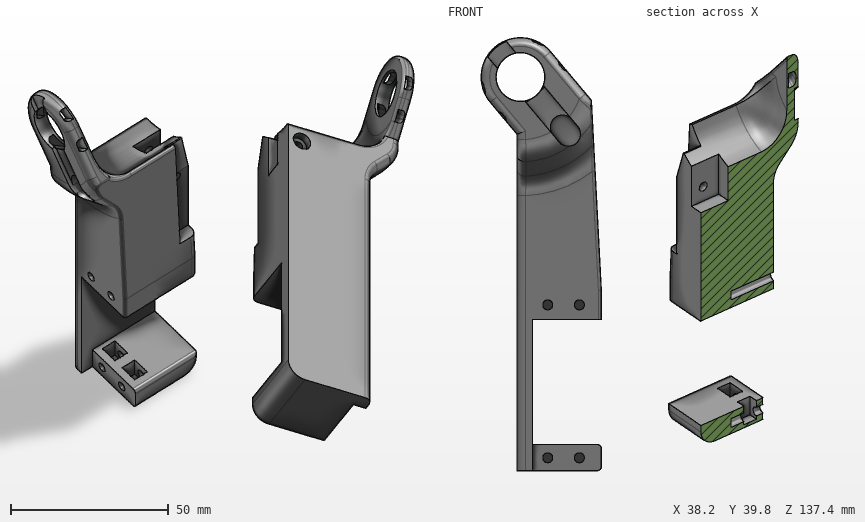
import cadquery as cq
import math

BODY_LEFT = 11.4
BODY_RIGHT = 38.2
BODY_FRONT = 10.0
BODY_BACK = 39.8
TOTAL_HEIGHT = 137.4

RING_RADIUS = 12.5
RING_HOLE_RADIUS = 7.7
RING_X = RING_RADIUS
RING_Z = TOTAL_HEIGHT - RING_RADIUS
PLATE_THICKNESS = 4.8
ARM_ANGLE = math.radians(50)

FLANK_TAPER_START = 57.2
ARM_SHOULDER_X = 35.0

SCOOP_RADIUS = 24.3
SCOOP_BLEND = 10.3
SCOOP_WALL_TOP = 113.4

NECK_START_RADIUS = 19.9
NECK_END_RADIUS = 37.7
NECK_UPPER_ARC = 9.9
NECK_SLOPE = math.radians(45)

FRONT_ROUND = 2.7
FLANK_ROUND = 1.0
REAR_RIM_ROUND = 1.0
BOTTOM_BACK_ROUND = 5.9
BACK_RIGHT_ROUND = 2.5
FOOT_ROUND = 1.4

WALL_INNER_X = 16.4
FOOT_TOP = 8.4
WINDOW_TOP = 48.0
FOOT_FRONT = 14.4

SCREW_DIAMETER = 3.2
SCREW_XS = (21.2, 31.2)
FOOT_SCREW_Z = 4.1
BODY_SCREW_Z = 52.6
SCREW_END_Y = 27.5
NUT_WIDTH = 6.3
NUT_FRONT = 17.2
NUT_BACK = 22.3
NUT_FLOOR = 1.4

CROSS_Y = 35.0
CROSS_Z = 94.8
COUNTERBORE_DIAMETER = 6.0
COUNTERBORE_DEPTH = 2.7

SLOT_LEFT = 19.1
SLOT_RIGHT = 25.8
SLOT_FRONT = 28.7
SLOT_FLOOR = 89.3

STEP_FRONT = 33.0
STEP_TOP = 107.5
STEP_LIP_X = 30.0
STEP_WALL_X = 33.3
STEP_SLOPE_END = 96.9
STEP_FLOOR = 67.3

CHANNEL_WIDTH = 7.7
CHANNEL_DEPTH = 1.4
CHANNEL_END = 24.7
POCKET_START = 16.9
POCKET_END = 27.5
POCKET_DEPTH = 4.1

TUNNEL_STATIONS = (-5.0, 5.9)
TUNNEL_WIDTH = 4.1
TUNNEL_FRONT = 1.1
TUNNEL_BACK = 3.8

OVERCUT = 6.9
NEGLIGIBLE = 0.07


def arm_point(along, across):
    """XZ point at a distance down the arm and a distance to its upper right side."""
    c, s = math.cos(ARM_ANGLE), math.sin(ARM_ANGLE)
    return RING_X + along * c + across * s, RING_Z - along * s + across * c


def box(x0, x1, y0, y1, z0, z1):
    return cq.Workplane("XY").box(x1 - x0, y1 - y0, z1 - z0, centered=False).translate((x0, y0, z0))


def front_plane(y):
    """Sketch plane with X right and Z up; positive extrusion goes to the back."""
    return cq.Workplane("XZ", origin=(0, y, 0))


def prism(sketch, depth):
    return sketch.extrude(-depth)


def around_eyelet(profile):
    """Turn a (radius, y) profile about the eyelet axis."""
    return profile.revolve(360, (0, 0, 0), (0, 1, 0)).translate((RING_X, 0, RING_Z))


def outline():
    """Full-depth block with the front silhouette of foot, body, arm and eyelet."""
    left_tangent = arm_point(0, -RING_RADIUS)
    right_tangent = arm_point(0, RING_RADIUS)
    ring_tip = arm_point(-RING_RADIUS, 0)
    slope = math.tan(ARM_ANGLE)
    left_corner_z = left_tangent[1] - (BODY_LEFT - left_tangent[0]) * slope
    shoulder_z = right_tangent[1] - (ARM_SHOULDER_X - right_tangent[0]) * slope
    sketch = (
        front_plane(0)
        .moveTo(BODY_LEFT, 0)
        .lineTo(BODY_RIGHT, 0)
        .lineTo(BODY_RIGHT, FLANK_TAPER_START)
        .lineTo(ARM_SHOULDER_X, shoulder_z)
        .lineTo(*right_tangent)
        .threePointArc(ring_tip, left_tangent)
        .lineTo(BODY_LEFT, left_corner_z)
        .close()
    )
    return prism(sketch, BODY_BACK)


def neck_cut():
    """Space in front of the neck and of the body front."""
    c, s = math.cos(NECK_SLOPE), math.sin(NECK_SLOPE)
    half = NECK_SLOPE / 2
    upper_end = (NECK_START_RADIUS + NECK_UPPER_ARC * s, NECK_UPPER_ARC * (1 - c))
    upper_mid = (
        NECK_START_RADIUS + NECK_UPPER_ARC * math.sin(half),
        NECK_UPPER_ARC * (1 - math.cos(half)),
    )
    run = NECK_END_RADIUS - upper_end[0]
    rise = BODY_FRONT - upper_end[1]
    lower_arc = (run * s - rise * c) / (s * s - c * (1 - c))
    lower_start = (NECK_END_RADIUS - lower_arc * s, BODY_FRONT - lower_arc * (1 - c))
    lower_mid = (
        NECK_END_RADIUS - lower_arc * math.sin(half),
        BODY_FRONT - lower_arc * (1 - math.cos(half)),
    )
    far = TOTAL_HEIGHT + OVERCUT
    profile = (
        cq.Workplane("XY")
        .moveTo(NECK_START_RADIUS, 0)
        .threePointArc(upper_mid, upper_end)
        .lineTo(*lower_start)
        .threePointArc(lower_mid, (NECK_END_RADIUS, BODY_FRONT))
        .lineTo(far, BODY_FRONT)
        .lineTo(far, -OVERCUT)
        .lineTo(NECK_START_RADIUS, -OVERCUT)
        .close()
    )
    return around_eyelet(profile)


def pick_edges(solid, wanted):
    """Select the edges whose bounding box satisfies a condition."""
    edges = [edge for edge in solid.edges().vals() if wanted(edge.BoundingBox())]
    return solid.newObject(edges)


def on_left_front(bounds):
    """Front edge up the left side, around the eyelet and along the arm."""
    runs_upwards = bounds.zlen > NEGLIGIBLE
    on_front = bounds.ymax < BODY_FRONT + NEGLIGIBLE
    on_left = bounds.xmax < BODY_LEFT + NEGLIGIBLE
    on_arm = bounds.ymax < PLATE_THICKNESS / 2 and bounds.zmax > SCOOP_WALL_TOP
    return runs_upwards and on_front and (on_left or on_arm)


def on_left_scoop_edge(bounds):
    """Left edge of the scoop and of its blend towards the plate."""
    on_left_face = abs(bounds.xmin - BODY_LEFT) < NEGLIGIBLE and bounds.xlen < NEGLIGIBLE
    above_cross_hole = bounds.zmin > CROSS_Z and bounds.ymin > PLATE_THICKNESS
    return on_left_face and above_cross_hole and bounds.ylen > FRONT_ROUND


def on_ring_back(bounds):
    """Rear outer edge of the eyelet and of the straight arm sides next to it."""
    in_back_plane = abs(bounds.ymin - PLATE_THICKNESS) < NEGLIGIBLE and bounds.ylen < NEGLIGIBLE
    left_of_ring = bounds.xmin < RING_X - RING_HOLE_RADIUS and bounds.zmin > SCOOP_WALL_TOP
    left_side = bounds.xmax < BODY_LEFT
    right_side = bounds.xmin > RING_X + RING_HOLE_RADIUS and bounds.zlen > NEGLIGIBLE
    return in_back_plane and (left_of_ring or left_side or right_side)


def on_rear_rim(bounds):
    """Continuous rear rim: scoop edge, arm side and eyelet."""
    return on_left_scoop_edge(bounds) or on_ring_back(bounds)


def on_right_front(bounds):
    """Front edge of the right flank, from the window up to the arm."""
    near_flank = bounds.xmin > ARM_SHOULDER_X - NEGLIGIBLE
    return near_flank and bounds.zlen > FRONT_ROUND and bounds.ymax < BODY_FRONT + NEGLIGIBLE


def on_back_right_corner(bounds):
    """Upright back edge of the right flank below the stepped recess."""
    at_back_right = bounds.xmin > BODY_RIGHT - FOOT_ROUND and bounds.ymin > BODY_BACK - NEGLIGIBLE
    return at_back_right and bounds.zlen > FOOT_ROUND and bounds.zmin > FOOT_TOP


def on_foot_end(bounds):
    """Upper and lower right-hand edges of the foot, front to back."""
    at_right = bounds.xmin > BODY_RIGHT - NEGLIGIBLE
    return at_right and bounds.zmax < FOOT_TOP + NEGLIGIBLE and bounds.zlen < NEGLIGIBLE


def on_bottom_back(bounds):
    """Lower back edge, from the left wall to the right flank."""
    return bounds.ymin > BODY_BACK - NEGLIGIBLE and bounds.zmax < NEGLIGIBLE


def scoop_cut():
    """Cylindrical hollow behind the plate, with all material above the right wall."""
    blend_start = SCOOP_RADIUS - SCOOP_BLEND
    blend_end_y = PLATE_THICKNESS + SCOOP_BLEND
    diagonal = SCOOP_BLEND * math.sqrt(0.5)
    back = BODY_BACK + OVERCUT
    profile = (
        cq.Workplane("XY")
        .moveTo(0, PLATE_THICKNESS)
        .lineTo(blend_start, PLATE_THICKNESS)
        .threePointArc(
            (blend_start + diagonal, blend_end_y - diagonal),
            (SCOOP_RADIUS, blend_end_y),
        )
        .lineTo(SCOOP_RADIUS, back)
        .lineTo(0, back)
        .close()
    )
    above_wall = (
        cq.Workplane("YZ", origin=(RING_X, 0, 0))
        .moveTo(back, SCOOP_WALL_TOP)
        .lineTo(blend_end_y, SCOOP_WALL_TOP)
        .threePointArc(
            (blend_end_y - diagonal, SCOOP_WALL_TOP + SCOOP_BLEND - diagonal),
            (PLATE_THICKNESS, SCOOP_WALL_TOP + SCOOP_BLEND),
        )
        .lineTo(PLATE_THICKNESS, TOTAL_HEIGHT)
        .lineTo(back, TOTAL_HEIGHT)
        .close()
        .extrude(BODY_RIGHT)
    )
    return around_eyelet(profile).union(above_wall)


def window_cut():
    """Opening between body and foot, with the foot set back from the body front."""
    window = box(WALL_INNER_X, BODY_RIGHT + OVERCUT, -OVERCUT, BODY_BACK + OVERCUT, FOOT_TOP, WINDOW_TOP)
    foot_recess = box(WALL_INNER_X, BODY_RIGHT + OVERCUT, -OVERCUT, FOOT_FRONT, -OVERCUT, WINDOW_TOP)
    return window.union(foot_recess)


def screw_cuts():
    """Blind front screw holes, and a nut pocket behind each one in the foot."""
    centres = [(x, z) for x in SCREW_XS for z in (FOOT_SCREW_Z, BODY_SCREW_Z)]
    cuts = prism(front_plane(0).pushPoints(centres).circle(SCREW_DIAMETER / 2), SCREW_END_Y)
    half = NUT_WIDTH / 2
    for x in SCREW_XS:
        cuts = cuts.union(box(x - half, x + half, NUT_FRONT, NUT_BACK, NUT_FLOOR, FOOT_TOP))
    return cuts


def cross_hole():
    """Through hole along X, counterbored from the left face."""
    start = cq.Vector(BODY_LEFT, CROSS_Y, CROSS_Z)
    along_x = cq.Vector(1, 0, 0)
    hole = cq.Solid.makeCylinder(SCREW_DIAMETER / 2, BODY_RIGHT, start, along_x)
    bore = cq.Solid.makeCylinder(COUNTERBORE_DIAMETER / 2, COUNTERBORE_DEPTH, start, along_x)
    return cq.Workplane(hole).union(cq.Workplane(bore))


def corner_step():
    """Lowered lip at the back right, falling away to a deep ledge on the outside."""
    lip = box(RING_X, BODY_RIGHT, STEP_FRONT, BODY_BACK, STEP_TOP, TOTAL_HEIGHT)
    sketch = front_plane(STEP_FRONT).polyline([
        (STEP_LIP_X, STEP_TOP),
        (STEP_WALL_X, STEP_SLOPE_END),
        (STEP_WALL_X, STEP_FLOOR),
        (BODY_RIGHT, STEP_FLOOR),
        (BODY_RIGHT, STEP_TOP),
    ]).close()
    return lip.union(prism(sketch, BODY_BACK - STEP_FRONT))


def along_arm(solid):
    """Place a solid built along +X so that it runs down the arm from the eyelet axis."""
    return solid.rotate((0, 0, 0), (0, 1, 0), math.degrees(ARM_ANGLE)).translate((RING_X, 0, RING_Z))


def channel_cut():
    """Shallow channel from the eyelet tip down the arm, ending in a deeper pocket."""
    half = CHANNEL_WIDTH / 2
    channel = box(-RING_RADIUS, CHANNEL_END, -OVERCUT, CHANNEL_DEPTH, -half, half)
    middle = (POCKET_START + POCKET_END) / 2
    pocket = prism(
        front_plane(-OVERCUT).center(middle, 0).slot2D(POCKET_END - POCKET_START, CHANNEL_WIDTH),
        OVERCUT + POCKET_DEPTH,
    )
    return along_arm(channel.union(pocket))


def tunnel_cuts():
    """Strap tunnels that cross the arm from edge to edge."""
    tunnels = cq.Workplane()
    depth = TUNNEL_BACK - TUNNEL_FRONT
    for station in TUNNEL_STATIONS:
        tunnel = box(
            station - TUNNEL_WIDTH / 2, station + TUNNEL_WIDTH / 2,
            TUNNEL_FRONT, TUNNEL_BACK, -2 * RING_RADIUS, 2 * RING_RADIUS,
        )
        tunnels = tunnels.add(tunnel.edges("|Z and <Y").fillet(depth / 2))
    return along_arm(tunnels.combine())


blank = pick_edges(outline(), on_bottom_back).fillet(BOTTOM_BACK_ROUND)
blank = blank.cut(neck_cut())
blank = pick_edges(blank, on_left_front).fillet(FRONT_ROUND)
blank = blank.cut(scoop_cut())
blank = pick_edges(blank, on_rear_rim).fillet(REAR_RIM_ROUND)
blank = pick_edges(blank, on_right_front).fillet(FLANK_ROUND)
blank = blank.cut(corner_step())
blank = blank.cut(window_cut())
blank = pick_edges(blank, on_back_right_corner).fillet(BACK_RIGHT_ROUND)
blank = pick_edges(blank, on_foot_end).fillet(FOOT_ROUND)

ring_hole = prism(front_plane(0).center(RING_X, RING_Z).circle(RING_HOLE_RADIUS), BODY_BACK)
back_slot = box(SLOT_LEFT, SLOT_RIGHT, SLOT_FRONT, BODY_BACK, SLOT_FLOOR, TOTAL_HEIGHT)
result = (
    blank.cut(ring_hole)
    .cut(back_slot)
    .cut(cross_hole())
    .cut(screw_cuts())
    .cut(channel_cut())
    .cut(tunnel_cuts())
)